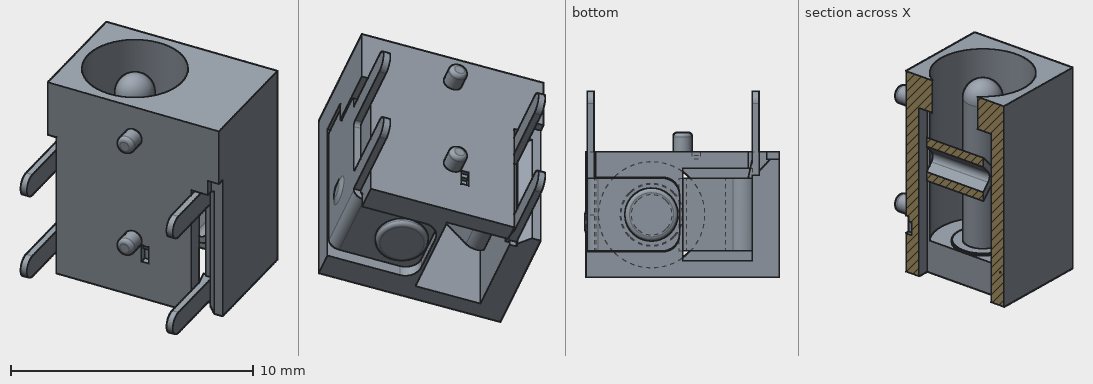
import cadquery as cq
import math


width = 8.0
depth = 5.2
height = 9.3
barrel_x = 2.71
barrel_y = depth / 2
barrel_radius = 2.195
barrel_floor = 1.49

sheet = 0.3
contact_width = 3.0
contact_front = barrel_y - contact_width / 2
contact_back = barrel_y + contact_width / 2
leg_width = 1.01
leg_tip_y = -2.5
upper_leg_z = 4.99
lower_left_leg_z = 0.99
lower_right_leg_z = 0.27

recess_depth = 0.4
recess_width = 3.08
recess_front = barrel_y - recess_width / 2
recess_back = barrel_y + recess_width / 2
recess_top = 7.69
shoulder_top = 6.705
left_plate_x = 0.05
plate_top = 7.45
plate_shoulder = 6.67
plate_shoulder_radius = 0.26
plate_corner_radius = 0.11
leg_root_radius = 0.195
bend_radius = 0.45
flange_bottom = 0.5
flange_top = flange_bottom + sheet
bend_top = flange_bottom + bend_radius
pocket_end = 3.87
pocket_corner = 0.7

dimple_y = 2.91
dimple_z = 2.75
dimple_base_radius = 0.61
dimple_tip_radius = 0.29
dimple_height = 0.1

pin_radius = 0.84
pin_top = 8.98
collar_radius = 1.3
collar_height = 0.09
collar_chamfer = 0.04
rivet_radius = 1.1
rivet_bottom = 0.2
rivet_fillet = 0.19

cavity_x = 4.01
cavity_width = 3.8
cavity_top = 7.78
cavity_front = barrel_y - cavity_width / 2
right_leg_x = 6.86
right_leg_outer = right_leg_x + sheet
slot_x = 6.705
slot_depth = 0.98
slot_top = upper_leg_z + leg_width
rebate_x = 7.48
rebate_depth = 0.33
lead_in_x = 7.61
lead_in_run = 0.47
lead_in_depth = rebate_depth + lead_in_run

leaf_left_x = 3.84
leaf_bend_radius = 0.48
leaf_upper_bend_z = 5.54
leaf_lower_bend_z = 3.385
leaf_tip_slope = 48.0
leaf_tip_length = 2.23

root_depth = 0.74

peg_radius = 0.4
peg_length = 0.8
peg_fillet = 0.19
peg_heights = (2.79, 7.8)
window_x = 4.38
window_z = 1.795
window_width = 0.335
window_height = 0.8
window_step = 0.57
window_depth = 0.3


def box(x0, x1, y0, y1, z0, z1):
    """Box between two opposite corners."""
    return cq.Workplane("XY").box(x1 - x0, y1 - y0, z1 - z0, centered=False).translate((x0, y0, z0))


def side_plane(x):
    """Workplane whose sketch axes are Y and Z, extruding from x toward +X."""
    return cq.Workplane("YZ", origin=(x, 0, 0))


def leg(x, z, inner_y):
    """Flat solder leg from inner_y to the round tip in front of the housing."""
    tip_radius = leg_width / 2
    tip_start = leg_tip_y + tip_radius
    return (
        side_plane(x)
        .moveTo(inner_y, z)
        .lineTo(tip_start, z)
        .threePointArc((leg_tip_y, z + tip_radius), (tip_start, z + leg_width))
        .lineTo(inner_y, z + leg_width)
        .close()
        .extrude(sheet)
    )


def disc(radius, z0, z1):
    """Cylinder on the barrel axis."""
    return cq.Workplane("XY", origin=(barrel_x, barrel_y, z0)).circle(radius).extrude(z1 - z0)


def make_housing():
    body = box(0, width, 0, depth, 0, height)
    body = body.cut(disc(barrel_radius, barrel_floor, height))

    body = body.cut(box(0, recess_depth, barrel_y, recess_back, 0, recess_top))
    body = body.cut(box(0, recess_depth, 0, barrel_y, 0, shoulder_top))

    pocket = box(0, pocket_end, recess_front, recess_back, 0, flange_top)
    body = body.cut(pocket.edges("|Z and >X").fillet(pocket_corner))

    body = body.cut(
        box(cavity_x, right_leg_x, cavity_front, cavity_front + cavity_width, 0, cavity_top)
    )

    body = body.cut(box(rebate_x, width, 0, rebate_depth, 0, shoulder_top))
    slot = (
        cq.Workplane("XY")
        .moveTo(slot_x, 0)
        .lineTo(lead_in_x, 0)
        .lineTo(lead_in_x, rebate_depth)
        .lineTo(right_leg_outer, lead_in_depth)
        .lineTo(right_leg_outer, slot_depth)
        .lineTo(right_leg_x, slot_depth)
        .lineTo(right_leg_x, contact_front)
        .lineTo(slot_x, contact_front)
        .close()
        .extrude(slot_top)
    )
    body = body.cut(slot)

    window_right = window_x + window_width
    window_top = window_z + window_height
    step_z = window_z + window_step
    body = body.cut(box(window_x, window_right, 0, window_depth, window_z, step_z))
    return body.cut(box(window_x, window_right, 0, window_depth / 2, step_z, window_top))


def make_pegs():
    pegs = cq.Workplane("XY")
    for z in peg_heights:
        peg = cq.Workplane("XZ", origin=(width / 2, 0, z)).circle(peg_radius).extrude(peg_length)
        pegs = pegs.add(peg.faces("<Y").edges().fillet(peg_fillet))
    return pegs.combine()


def make_left_contact():
    plate_inner_x = left_plate_x + sheet
    high = box(left_plate_x, plate_inner_x, barrel_y, contact_back, bend_top, plate_top)
    high = high.edges("|X and >Z and <Y").fillet(plate_corner_radius)
    low = box(left_plate_x, plate_inner_x, contact_front, contact_back, bend_top, plate_shoulder)
    low = low.edges("|X and >Z and <Y").fillet(plate_shoulder_radius)
    contact = high.union(low)

    contact = contact.union(leg(left_plate_x, upper_leg_z, barrel_y))
    contact = contact.union(leg(left_plate_x, lower_left_leg_z, barrel_y))
    root_sag = leg_root_radius * (1 - math.sqrt(0.5))
    for z, direction in ((upper_leg_z, -1), (lower_left_leg_z + leg_width, 1)):
        root = (
            side_plane(left_plate_x)
            .moveTo(contact_front, z)
            .lineTo(contact_front, z + direction * leg_root_radius)
            .threePointArc(
                (contact_front - root_sag, z + direction * root_sag),
                (contact_front - leg_root_radius, z),
            )
            .close()
            .extrude(sheet)
        )
        contact = contact.union(root)

    bend_x = left_plate_x + bend_radius
    inner_radius = bend_radius - sheet
    diagonal = math.sqrt(0.5)
    bend = (
        cq.Workplane("XZ", origin=(0, contact_back, 0))
        .moveTo(left_plate_x, bend_top)
        .threePointArc(
            (bend_x - bend_radius * diagonal, bend_top - bend_radius * diagonal),
            (bend_x, flange_bottom),
        )
        .lineTo(bend_x, flange_top)
        .threePointArc(
            (bend_x - inner_radius * diagonal, bend_top - inner_radius * diagonal),
            (plate_inner_x, bend_top),
        )
        .close()
        .extrude(contact_width)
    )
    flange = box(bend_x, pocket_end, contact_front, contact_back, flange_bottom, flange_top)
    flange = flange.edges("|Z and >X").fillet(pocket_corner)
    contact = contact.union(bend).union(flange)

    dimple = cq.Solid.makeCone(
        dimple_base_radius,
        dimple_tip_radius,
        dimple_height,
        cq.Vector(left_plate_x, dimple_y, dimple_z),
        cq.Vector(-1, 0, 0),
    )
    return contact.union(cq.Workplane(dimple))


def make_centre_pin():
    dome_z = pin_top - pin_radius
    dome = cq.Workplane("XY", origin=(barrel_x, barrel_y, dome_z)).sphere(pin_radius)
    pin = disc(pin_radius, flange_bottom, dome_z).union(dome)
    collar = disc(collar_radius, flange_top, barrel_floor + collar_height)
    collar = collar.faces(">Z").chamfer(collar_chamfer)
    rivet = disc(rivet_radius, rivet_bottom, flange_bottom).faces("<Z").edges().fillet(rivet_fillet)
    return pin.union(collar).union(rivet)


def make_spring_leaf():
    """Leaf that leaves the right wall in a U bend, rises to the contact bend and flares out."""
    upper_x = leaf_left_x + sheet / 2 + leaf_bend_radius
    lower_x = right_leg_x + sheet / 2 - leaf_bend_radius
    run_angle = math.degrees(
        math.atan2(leaf_upper_bend_z - leaf_lower_bend_z, upper_x - lower_x)
    ) + 90
    tip_angle = leaf_tip_slope + 90

    def on_bend(centre_x, centre_z, angle):
        direction = math.radians(angle)
        return (
            centre_x + leaf_bend_radius * math.cos(direction),
            centre_z + leaf_bend_radius * math.sin(direction),
        )

    path = (
        cq.Workplane("XZ", origin=(0, contact_back, 0))
        .moveTo(*on_bend(lower_x, leaf_lower_bend_z, 360))
        .threePointArc(
            on_bend(lower_x, leaf_lower_bend_z, (360 + run_angle) / 2),
            on_bend(lower_x, leaf_lower_bend_z, run_angle),
        )
        .lineTo(*on_bend(upper_x, leaf_upper_bend_z, run_angle))
        .threePointArc(
            on_bend(upper_x, leaf_upper_bend_z, (run_angle + tip_angle) / 2),
            on_bend(upper_x, leaf_upper_bend_z, tip_angle),
        )
        .polarLine(leaf_tip_length, leaf_tip_slope)
    )
    return path.offset2D(sheet / 2).extrude(contact_width)


def make_right_contact():
    contact = make_spring_leaf()
    for z in (upper_leg_z, lower_right_leg_z):
        contact = contact.union(leg(right_leg_x, z, barrel_y))
    root = (
        cq.Workplane("XY", origin=(0, 0, lower_right_leg_z))
        .moveTo(right_leg_x, contact_front - root_depth)
        .lineTo(right_leg_x, contact_front)
        .lineTo(slot_x, contact_front)
        .close()
        .extrude(leg_width)
    )
    return contact.union(root)


result = (
    make_housing()
    .union(make_pegs())
    .union(make_left_contact())
    .union(make_centre_pin())
    .union(make_right_contact())
    .solids()
)